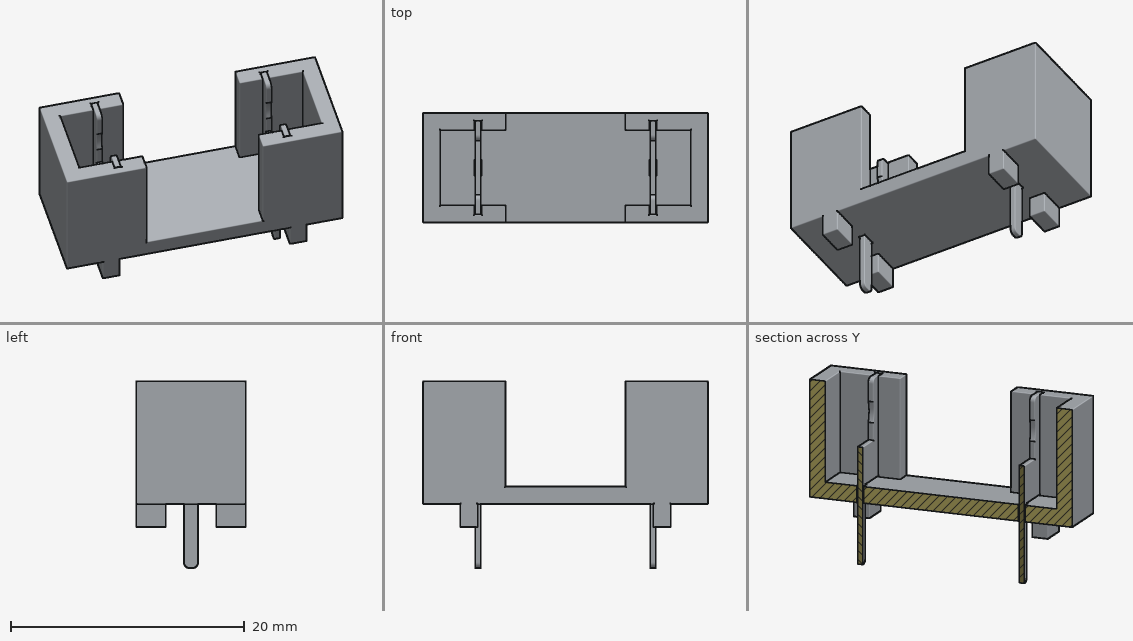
import cadquery as cq

LENGTH = 24.4
WIDTH = 9.4
HEIGHT = 10.52
FLOOR = 1.51
WALL = 1.5
TOWER_LENGTH = 7.08
EDGE_ROUND = 0.085

FOOT_OUTER_X = 9.03
FOOT_LENGTH = 1.51
FOOT_WIDTH = 2.54
FOOT_HEIGHT = 1.98

CLIP_X = 7.5
CLIP_THICKNESS = 0.51
CLIP_WIDTH = 8.0
CLIP_GAP = 4.6
CLIP_GAP_BOTTOM = 5.0
CLIP_TOP_ROUND = 0.5
CLIP_EDGE_ROUND = 0.085
CLIP_CLEARANCE = 0.05
FUSE_RADIUS = 2.5
FUSE_Z = 7.5
PIN_WIDTH = 1.22
PIN_TIP_ROUND = 0.5
TOTAL_HEIGHT = 16.0
PIN_BOTTOM = HEIGHT - TOTAL_HEIGHT

SIDES = (-1, 1)
TOLERANCE = 0.002


def block(x_size, y_size, x, y, bottom, top):
    """Upright box centred on x and y, reaching from height bottom to height top."""
    box = cq.Workplane("XY").box(x_size, y_size, top - bottom, centered=(True, True, False))
    return box.translate((x, y, bottom))


def same(a, b):
    return abs(a - b) < TOLERANCE


def is_inside_corner(edge):
    """True where two housing faces meet in a hollow corner."""
    center = edge.Center()
    x, y, z = abs(center.x), abs(center.y), center.z
    on_outline = same(x, LENGTH / 2) or same(y, WIDTH / 2)
    at_floor_level = same(z, 0) or same(z, FLOOR)
    pocket_upright = same(x, LENGTH / 2 - WALL) and same(y, WIDTH / 2 - WALL)
    return pocket_upright or (at_floor_level and not on_outline)


def make_shell():
    """Floor, towers and feet with every outward edge rounded."""
    opening = LENGTH - 2 * TOWER_LENGTH
    shell = block(LENGTH, WIDTH, 0, 0, 0, HEIGHT)
    shell = shell.cut(block(opening, WIDTH, 0, 0, FLOOR, HEIGHT))
    shell = shell.cut(block(LENGTH - 2 * WALL, WIDTH - 2 * WALL, 0, 0, FLOOR, HEIGHT))
    for side_x in SIDES:
        for side_y in SIDES:
            x = side_x * (FOOT_OUTER_X - FOOT_LENGTH / 2)
            y = side_y * (WIDTH - FOOT_WIDTH) / 2
            shell = shell.union(block(FOOT_LENGTH, FOOT_WIDTH, x, y, -FOOT_HEIGHT, 0))
    outward_edges = [edge for edge in shell.edges().vals() if not is_inside_corner(edge)]
    return shell.newObject(outward_edges).fillet(EDGE_ROUND)


def cut_clip_seat(housing, x):
    """Slots for the clip in both tower walls, and the pin hole through the floor."""
    slot_width = CLIP_THICKNESS + 2 * CLIP_CLEARANCE
    hole_length = PIN_WIDTH + 2 * CLIP_CLEARANCE
    housing = housing.cut(block(slot_width, CLIP_WIDTH, x, 0, FLOOR, HEIGHT))
    housing = housing.cut(block(slot_width, hole_length, x, 0, 0, FLOOR))
    slot_mouth = cq.selectors.BoxSelector(
        (x - slot_width, -CLIP_WIDTH, HEIGHT - TOLERANCE),
        (x + slot_width, CLIP_WIDTH, HEIGHT + TOLERANCE),
    )
    return housing.edges(slot_mouth).fillet(EDGE_ROUND)


def make_housing():
    housing = make_shell()
    for side in SIDES:
        housing = cut_clip_seat(housing, side * CLIP_X)
    return housing


def make_clip(x):
    """Fork with two arms that grip a round fuse, standing on a single solder pin."""
    plate = block(CLIP_THICKNESS, CLIP_WIDTH, x, 0, FLOOR, HEIGHT)
    plate = plate.cut(block(CLIP_THICKNESS, CLIP_GAP, x, 0, CLIP_GAP_BOTTOM, HEIGHT))
    for side in SIDES:
        arm_corner = cq.selectors.NearestToPointSelector((x, side * CLIP_GAP / 2, HEIGHT))
        plate = plate.edges(arm_corner).fillet(CLIP_TOP_ROUND)
    fuse = (
        cq.Workplane("YZ", origin=(x - CLIP_THICKNESS / 2, 0, FUSE_Z))
        .circle(FUSE_RADIUS)
        .extrude(CLIP_THICKNESS)
    )
    pin = block(CLIP_THICKNESS, PIN_WIDTH, x, 0, PIN_BOTTOM, FLOOR)
    pin = pin.edges("|X and <Z").fillet(PIN_TIP_ROUND)
    clip = plate.cut(fuse).union(pin)
    return clip.faces("<X or >X").edges().fillet(CLIP_EDGE_ROUND)


housing = make_housing()
clips = [make_clip(side * CLIP_X) for side in SIDES]
result = cq.Compound.makeCompound([housing.val(), *[clip.val() for clip in clips]])